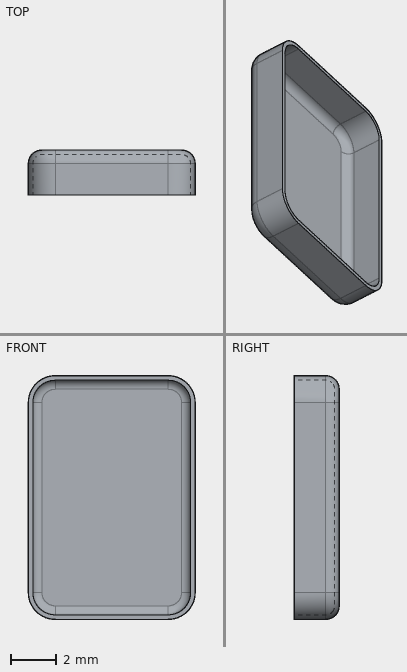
import cadquery as cq

width = 7.4
depth = 2.0
height = 10.8
wall = 0.2
corner_radius = 1.2
floor_radius = 0.6


def rounded_block(inset):
    """Block with rounded corners and a rounded +Y face, inset evenly from the outer skin."""
    return (
        cq.Workplane("XY")
        .box(width - 2 * inset, depth - inset, height - 2 * inset, centered=(True, False, True))
        .edges("|Y")
        .fillet(corner_radius - inset)
        .faces(">Y")
        .edges()
        .fillet(floor_radius - inset)
    )


outer_body = rounded_block(0)
cavity = rounded_block(wall)
result = outer_body.cut(cavity)